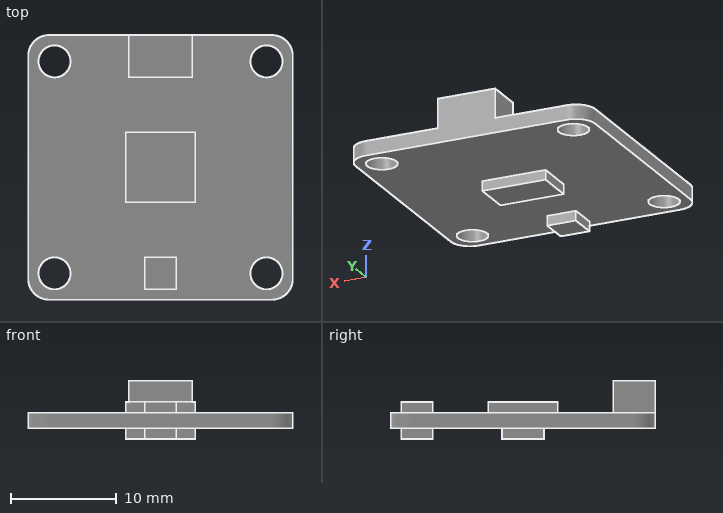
import cadquery as cq

board_side = 25.0
board_thickness = 1.5
corner_radius = 2.0

hole_diameter = 3.0
hole_edge_distance = 2.5
hole_spacing = board_side - 2 * hole_edge_distance

connector_width = 6.0
connector_depth = 4.0
connector_height = 3.0
chip_side = 6.6
lower_chip_depth = 4.0
small_chip_side = 3.0
chip_height = 1.0

connector_y = (board_side - connector_depth) / 2
small_chip_y = -hole_spacing / 2


def make_board():
    """Square plate with rounded corners and four through holes, bottom face at Z = 0."""
    return (
        cq.Workplane("XY")
        .box(board_side, board_side, board_thickness, centered=(True, True, False))
        .edges("|Z")
        .fillet(corner_radius)
        .faces(">Z")
        .workplane()
        .rect(hole_spacing, hole_spacing, forConstruction=True)
        .vertices()
        .hole(hole_diameter)
    )


def make_component(width, depth, height, center_y, base_z):
    """Rectangular block centred on X = 0, rising from base_z."""
    return (
        cq.Workplane("XY")
        .box(width, depth, height, centered=(True, True, False))
        .translate((0, center_y, base_z))
    )


upper_base = board_thickness
lower_base = -chip_height

connector = make_component(connector_width, connector_depth, connector_height, connector_y, upper_base)
upper_chip = make_component(chip_side, chip_side, chip_height, 0, upper_base)
lower_chip = make_component(chip_side, lower_chip_depth, chip_height, 0, lower_base)

result = make_board().union(connector).union(upper_chip).union(lower_chip)

for base_z in (upper_base, lower_base):
    small_chip = make_component(small_chip_side, small_chip_side, chip_height, small_chip_y, base_z)
    result = result.union(small_chip)